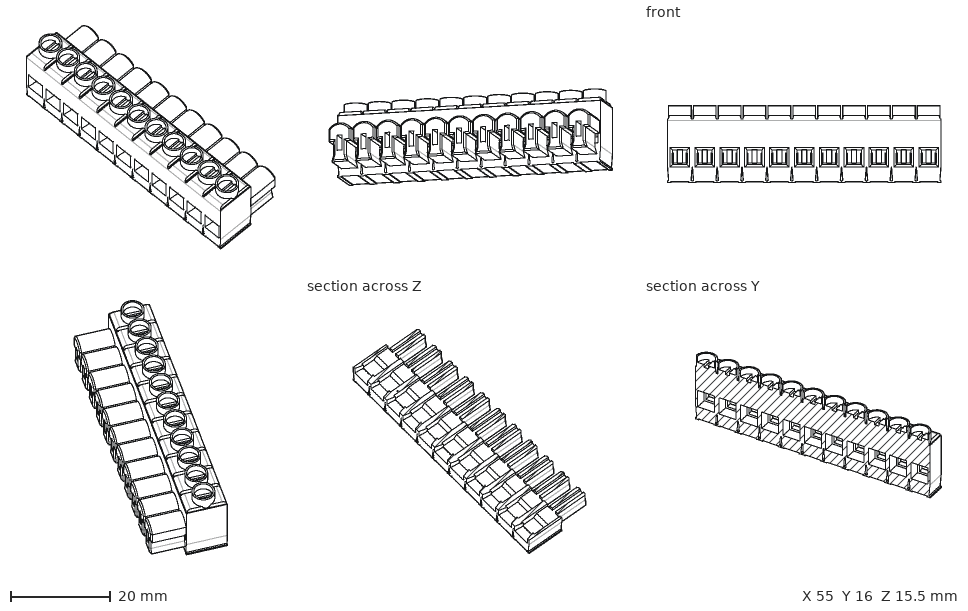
import cadquery as cq

cell_count = 11
row_length = 55.0
pitch = row_length / cell_count
half_pitch = pitch / 2

body_depth = 8.65
body_top = 13.5
shoulder_z = 12.8
shoulder_ledge = 0.15
top_side_inset = 0.4
front_edge_radius = 1.0
back_edge_radius = 0.8
back_ledge = 0.15
taper_top_z = 3.2
taper_bottom_z = 0.5
taper_inset = 0.2
foot_side_z = 0.35
foot_width = 0.7
underside_z = 0.15

collar_diameter = 4.6
collar_bore = 3.85
collar_top = 15.5
screw_recess = 1.55
screw_slot_width = 0.9
screw_slot_depth = 0.65

plug_end_y = 16.0
plug_width = 4.6
plug_bottom = 1.7
plug_top = 9.6
plug_arch_z = 8.35
plug_step_z = 5.9
plug_flare_z = 3.0
plug_neck_width = 2.65
plug_base_width = 3.4
plug_end_chamfer = 0.35

entry_size = 3.95
entry_center_z = 5.1
funnel_inset = 0.5
funnel_depth = 1.85
funnel_exit_size = entry_size - 2 * funnel_inset
throat_clearance = 0.45
throat_size = funnel_exit_size + 2 * throat_clearance
throat_depth = body_depth
ramp_start_y = 4.95
ramp_top_z = 3.95
contact_width = 1.0


def mirrored_outline(right_side):
    """Close an XZ outline that is symmetric about X = 0."""
    left_side = [(-x, z) for x, z in reversed(right_side)]
    return cq.Workplane("XZ").polyline(right_side + left_side).close()


def make_housing():
    outline = mirrored_outline([
        (half_pitch - foot_width, underside_z),
        (half_pitch - foot_width, 0),
        (half_pitch, 0),
        (half_pitch, foot_side_z),
        (half_pitch - taper_inset, taper_bottom_z),
        (half_pitch, taper_top_z),
        (half_pitch, shoulder_z),
        (half_pitch - shoulder_ledge, shoulder_z),
        (half_pitch - top_side_inset, body_top),
    ])
    back_ledge_z = body_top - back_edge_radius
    upper_back_y = body_depth - back_ledge
    side_profile = (
        cq.Workplane("YZ")
        .lineTo(body_depth, 0)
        .lineTo(body_depth, back_ledge_z)
        .lineTo(upper_back_y, back_ledge_z)
        .radiusArc((upper_back_y - back_edge_radius, body_top), -back_edge_radius)
        .lineTo(front_edge_radius, body_top)
        .radiusArc((0, body_top - front_edge_radius), -front_edge_radius)
        .close()
        .extrude(half_pitch, both=True)
    )
    return outline.extrude(-body_depth).intersect(side_profile)


def make_plug():
    half_width = plug_width / 2
    half_neck = plug_neck_width / 2
    half_base = plug_base_width / 2
    length = plug_end_y - body_depth
    return (
        cq.Workplane("XZ", origin=(0, body_depth, 0))
        .moveTo(-half_base, plug_bottom)
        .lineTo(half_base, plug_bottom)
        .lineTo(half_neck, plug_flare_z)
        .lineTo(half_neck, plug_step_z)
        .lineTo(half_width, plug_step_z)
        .lineTo(half_width, plug_arch_z)
        .threePointArc((0, plug_top), (-half_width, plug_arch_z))
        .lineTo(-half_width, plug_step_z)
        .lineTo(-half_neck, plug_step_z)
        .lineTo(-half_neck, plug_flare_z)
        .close()
        .extrude(-length)
        .faces(">Y")
        .chamfer(plug_end_chamfer)
    )


def make_collar():
    return (
        cq.Workplane("XY", origin=(0, body_depth / 2, shoulder_z))
        .circle(collar_diameter / 2)
        .extrude(collar_top - shoulder_z)
    )


def make_screw_recess():
    """Bore of the collar, with the screwdriver slot cut across its floor."""
    screw_head_z = collar_top - screw_recess
    head = cq.Workplane("XY", origin=(0, body_depth / 2, screw_head_z))
    bore = head.circle(collar_bore / 2).extrude(screw_recess)
    slot = head.rect(screw_slot_width, collar_bore).extrude(-screw_slot_depth)
    screw_head = head.circle(collar_bore / 2).extrude(-screw_slot_depth)
    return bore.union(slot.intersect(screw_head))


def make_wire_entry():
    """Square funnel, throat with a ramped floor, and contact slit to the plug end."""
    throat_bottom = entry_center_z - throat_size / 2
    throat_top = entry_center_z + throat_size / 2
    ramp_length = ramp_top_z - throat_bottom
    face = cq.Workplane("XZ", origin=(0, 0, entry_center_z))
    funnel = (
        face.rect(entry_size, entry_size)
        .workplane(offset=-funnel_depth)
        .rect(funnel_exit_size, funnel_exit_size)
        .loft(ruled=True)
    )
    throat = (
        cq.Workplane("YZ")
        .polyline([
            (funnel_depth, throat_bottom),
            (ramp_start_y, throat_bottom),
            (ramp_start_y + ramp_length, ramp_top_z),
            (throat_depth, ramp_top_z),
            (throat_depth, throat_top),
            (funnel_depth, throat_top),
        ])
        .close()
        .extrude(throat_size / 2, both=True)
    )
    slit_size = (contact_width, plug_end_y - throat_depth, throat_top - ramp_top_z)
    slit = (
        cq.Workplane("XY", origin=(0, throat_depth, ramp_top_z))
        .box(*slit_size, centered=(True, False, False))
    )
    return funnel.union(throat).union(slit)


cell = (
    make_housing()
    .union(make_plug())
    .union(make_collar())
    .cut(make_screw_recess())
    .cut(make_wire_entry())
)

result = cell.translate((half_pitch, 0, 0))
for index in range(1, cell_count):
    result = result.union(cell.translate((half_pitch + index * pitch, 0, 0)))